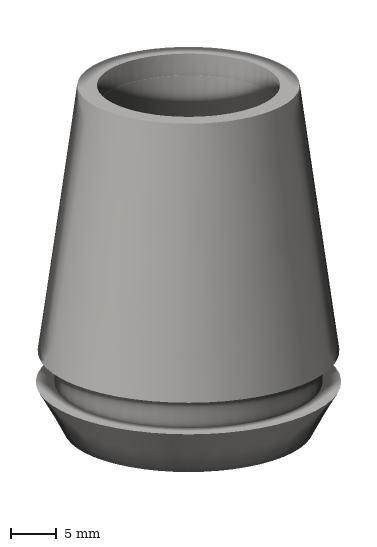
import cadquery as cq

height = 40.0
flange_height = 5.5
cone_base_height = 9.1

base_radius = 13.6
flange_radius = 16.7
groove_radius = 14.65
cone_base_radius = 16.5
cone_top_radius = 12.15

bore_radius = 9.95
entry_radius = 10.0
entry_depth = 2.5

half_section = (
    cq.Workplane("XZ")
    .moveTo(bore_radius, 0)
    .lineTo(base_radius, 0)
    .lineTo(flange_radius, flange_height)
    .lineTo(groove_radius, flange_height)
    .lineTo(groove_radius, cone_base_height)
    .lineTo(cone_base_radius, cone_base_height)
    .lineTo(cone_top_radius, height)
    .lineTo(entry_radius, height)
    .lineTo(entry_radius, height - entry_depth)
    .lineTo(bore_radius, height - entry_depth)
    .close()
)

result = half_section.revolve(360, (0, 0, 0), (0, 1, 0))